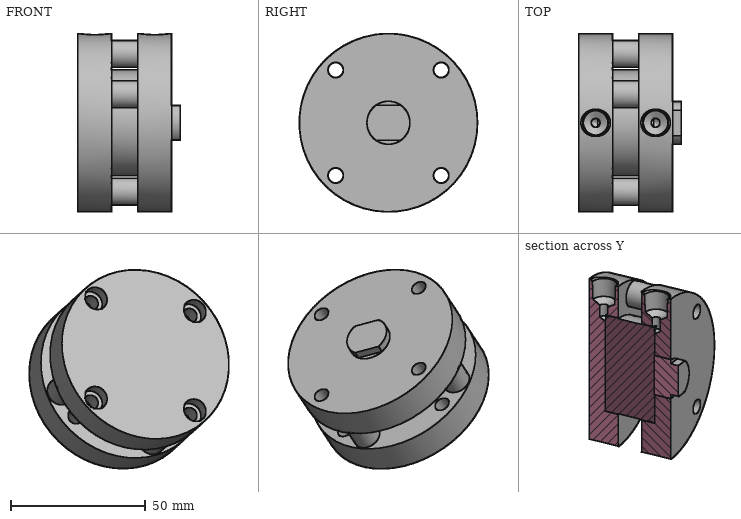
import cadquery as cq
import math

CAP_DIAMETER = 66.55
CAP_THICKNESS = 12.7
CAP_GAP = 9.65
ROD_PROJECTION = 3.25

REAR_INNER_X = CAP_THICKNESS
FRONT_INNER_X = REAR_INNER_X + CAP_GAP
FRONT_OUTER_X = FRONT_INNER_X + CAP_THICKNESS
ROD_END_X = FRONT_OUTER_X + ROD_PROJECTION

BARREL_DIAMETER = 39.65
SEAT_DEPTH = 5.6

BOLT_CIRCLE_RADIUS = 27.8
FASTENER_COUNT = 4
FASTENER_STEP = 360.0 / FASTENER_COUNT
SCREW_START_ANGLE = 45.0
SCREW_HOLE_DIAMETER = 5.6
COUNTERBORE_DIAMETER = 8.8
COUNTERBORE_DEPTH = 5.3
SPACER_DIAMETER = 10.1
SPACER_START_ANGLE = 67.5

PORT_DIAMETER = 9.65
PORT_DEPTH = 8.0
PORT_TAPER = 1 / 16
PORT_CHAMFER = 0.65
PASSAGE_DIAMETER = 3.25
PASSAGE_DEPTH = 14.65
DRILL_POINT_ANGLE = 118.0

ROD_DIAMETER = 16.05
ROD_ACROSS_FLATS = 12.9


def cylinder_along_x(diameter, start_x, end_x, y=0.0, z=0.0):
    """Cylinder parallel to X between two X positions."""
    return (
        cq.Workplane("YZ", origin=(start_x, y, z))
        .circle(diameter / 2)
        .extrude(end_x - start_x)
    )


def fastener_points(start_angle):
    """(y, z) places equally spaced on the fastener circle."""
    angles = [math.radians(start_angle + i * FASTENER_STEP) for i in range(FASTENER_COUNT)]
    return [
        (BOLT_CIRCLE_RADIUS * math.cos(angle), BOLT_CIRCLE_RADIUS * math.sin(angle))
        for angle in angles
    ]


def drill_point_length(radius):
    """Height of the conical tip that a drill of this radius leaves."""
    return radius / math.tan(math.radians(DRILL_POINT_ANGLE / 2))


def drilled_hole(x, diameter, depth, taper=0.0):
    """Hole, straight or tapered, going down from the top of a cap to a conical drill point."""
    radius = diameter / 2
    top_z = CAP_DIAMETER / 2
    floor_z = top_z - depth
    floor_radius = radius - taper * depth / 2
    return (
        cq.Workplane("XZ", origin=(x, 0, 0))
        .moveTo(0, top_z)
        .lineTo(radius, top_z)
        .lineTo(floor_radius, floor_z)
        .lineTo(0, floor_z - drill_point_length(floor_radius))
        .close()
        .revolve(360, (0, 0, 0), (0, 1, 0))
    )


def port_chamfer(x):
    """45-degree countersink at the mouth of a port."""
    mouth_radius = PORT_DIAMETER / 2 + PORT_CHAMFER
    top_z = CAP_DIAMETER / 2
    return (
        cq.Workplane("XZ", origin=(x, 0, 0))
        .moveTo(0, top_z)
        .lineTo(mouth_radius, top_z)
        .lineTo(0, top_z - mouth_radius)
        .close()
        .revolve(360, (0, 0, 0), (0, 1, 0))
    )


def make_cap(start_x):
    """Round cap with screw holes and one radial port with its passage at mid thickness."""
    end_x = start_x + CAP_THICKNESS
    middle_x = start_x + CAP_THICKNESS / 2
    cap = cylinder_along_x(CAP_DIAMETER, start_x, end_x)
    for y, z in fastener_points(SCREW_START_ANGLE):
        cap = cap.cut(cylinder_along_x(SCREW_HOLE_DIAMETER, start_x, end_x, y, z))
    cap = cap.cut(drilled_hole(middle_x, PORT_DIAMETER, PORT_DEPTH, PORT_TAPER))
    cap = cap.cut(drilled_hole(middle_x, PASSAGE_DIAMETER, PASSAGE_DEPTH))
    return cap.cut(port_chamfer(middle_x))


def make_barrel():
    """Barrel that bridges the gap and fills the seats in both caps."""
    return cylinder_along_x(
        BARREL_DIAMETER, REAR_INNER_X - SEAT_DEPTH, FRONT_INNER_X + SEAT_DEPTH
    )


def make_rear_cap():
    """Cap with counterbores for screw heads on its outer face."""
    cap = make_cap(0.0)
    for y, z in fastener_points(SCREW_START_ANGLE):
        cap = cap.cut(cylinder_along_x(COUNTERBORE_DIAMETER, 0.0, COUNTERBORE_DEPTH, y, z))
    return cap.cut(make_barrel())


def make_front_cap():
    """Cap with a bore through which the rod leaves."""
    rod_bore = cylinder_along_x(ROD_DIAMETER, FRONT_INNER_X, FRONT_OUTER_X)
    return make_cap(FRONT_INNER_X).cut(make_barrel()).cut(rod_bore)


def make_rod():
    """Round rod from the end of the barrel, flattened above and below where it projects."""
    rod = cylinder_along_x(ROD_DIAMETER, FRONT_INNER_X + SEAT_DEPTH, FRONT_OUTER_X)
    flats = cq.Workplane("XY").box(
        ROD_PROJECTION, ROD_DIAMETER, ROD_ACROSS_FLATS, centered=(False, True, True)
    )
    flatted_end = cylinder_along_x(ROD_DIAMETER, FRONT_OUTER_X, ROD_END_X).intersect(
        flats.translate((FRONT_OUTER_X, 0, 0))
    )
    return rod.union(flatted_end)


def make_spacer(y, z):
    """Plain round spacer between the inner faces of the caps."""
    return cylinder_along_x(SPACER_DIAMETER, REAR_INNER_X, FRONT_INNER_X, y, z)


rear_cap = make_rear_cap()
front_cap = make_front_cap()
barrel = make_barrel()
rod = make_rod()
spacers = [make_spacer(y, z) for y, z in fastener_points(SPACER_START_ANGLE)]

result = cq.Compound.makeCompound(
    [
        rear_cap.val(),
        front_cap.val(),
        barrel.val(),
        rod.val(),
        *[spacer.val() for spacer in spacers],
    ]
)